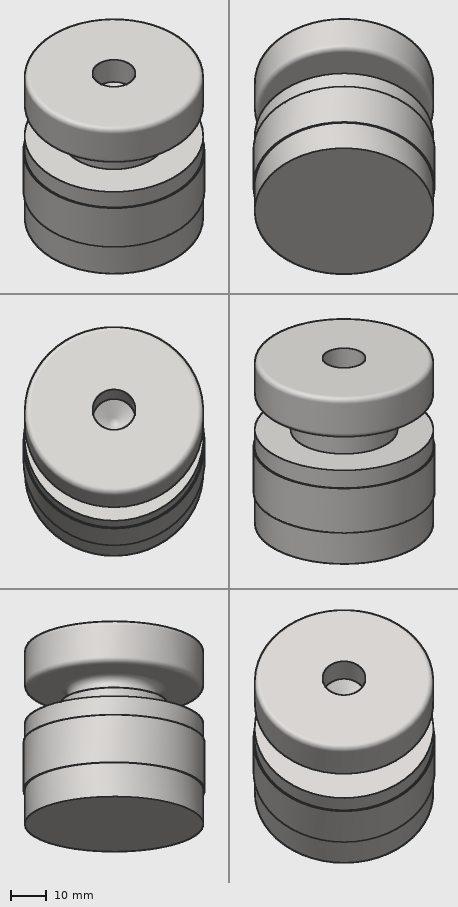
import cadquery as cq

total_height = 52.0
foot_height = 10.0
band_height = 14.0
shoulder_height = 5.55
neck_height = 5.8
groove_height = 4.15

body_diameter = 50.0
band_diameter = 50.8
neck_diameter = 30.0

head_edge_radius = 1.5
hole_diameter = 12.0
hole_depth = 8.0
hole_tip_height = 3.6

socket_depth = shoulder_height

base_top = foot_height + band_height + shoulder_height
neck_top = base_top + neck_height
head_bottom = neck_top + groove_height
socket_floor = base_top - socket_depth
head_height = total_height - head_bottom


def cylinder(diameter, height, bottom):
    """Upright cylinder on the Z axis."""
    return cq.Workplane("XY").workplane(offset=bottom).circle(diameter / 2).extrude(height)


def make_base():
    """Plain round base with a slightly wider band and a socket for the neck."""
    core = cylinder(body_diameter, base_top, 0)
    band = cylinder(band_diameter, band_height, foot_height)
    socket = cylinder(neck_diameter, socket_depth, socket_floor)
    return core.union(band).cut(socket)


def make_grooved_neck():
    """Neck standing in the base socket, with a half-round groove below the head."""
    neck_radius = neck_diameter / 2
    groove_radius = groove_height / 2
    waist_radius = neck_radius - groove_radius
    groove_middle = neck_top + groove_radius
    return (
        cq.Workplane("XZ")
        .moveTo(0, socket_floor)
        .lineTo(neck_radius, socket_floor)
        .lineTo(neck_radius, neck_top)
        .threePointArc((waist_radius, groove_middle), (neck_radius, head_bottom))
        .lineTo(0, head_bottom)
        .close()
        .revolve(360, (0, 0, 0), (0, 1, 0))
    )


def make_blind_hole():
    """Drilled hole in the head, ending in a conical tip."""
    hole_radius = hole_diameter / 2
    wall_bottom = total_height - hole_depth
    return (
        cq.Workplane("XZ")
        .moveTo(0, total_height)
        .lineTo(hole_radius, total_height)
        .lineTo(hole_radius, wall_bottom)
        .lineTo(0, wall_bottom - hole_tip_height)
        .close()
        .revolve(360, (0, 0, 0), (0, 1, 0))
    )


def make_knob():
    """Round-edged head and its neck, with the blind hole from above."""
    head = cylinder(body_diameter, head_height, head_bottom).edges().fillet(head_edge_radius)
    return head.union(make_grooved_neck()).cut(make_blind_hole())


base = make_base()
knob = make_knob()

result = cq.Compound.makeCompound([base.val(), knob.val()])